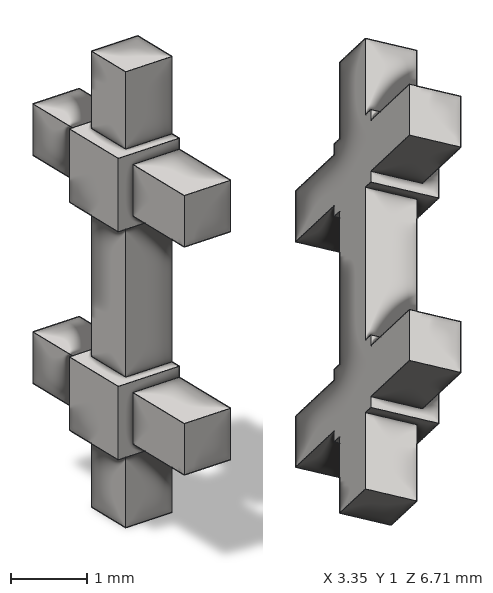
import cadquery as cq

post_height = 6.71
arm_length = 3.35
block_depth = 1.0

bar_width = 0.76
block_width = 1.08

crossing_offset = post_height / 4


def flush_box(width, depth, height, z_center=0):
    """Box centred on X, with its back on the Y = 0 plane and its front towards -Y."""
    return cq.Workplane("XY").box(width, depth, height).translate((0, -depth / 2, z_center))


result = flush_box(bar_width, bar_width, post_height)

for z_center in (-crossing_offset, crossing_offset):
    arm = flush_box(arm_length, bar_width, bar_width, z_center)
    block = flush_box(block_width, block_depth, block_width, z_center)
    result = result.union(arm).union(block)

result = result.clean()